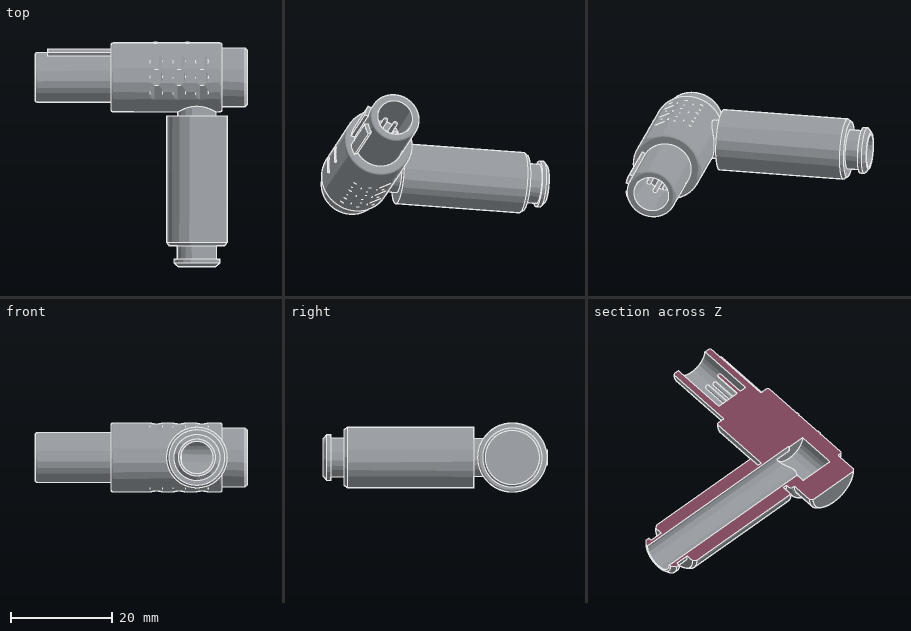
import cadquery as cq
import math


total_length = 42.0
nose_radius = 4.95
nose_length = 15.0
body_radius = 6.85
body_end_x = 37.0
rear_cap_radius = 5.85
edge_rounding = 0.5
rear_chamfer = 0.5
union_overlap = 0.5

socket_radius = 3.5
socket_depth = 12.0
pin_count = 5
pin_radius = 0.42
pin_length = 6.0
pin_tip_flat_radius = 0.02
pin_circle_radius = 1.75

key_radius = 5.7
key_start_x = 2.5
key_inner_angle = 9.6
key_outer_angle = 30.7

outlet_x = 32.0
outlet_neck_radius = 3.8
outlet_radius = 6.0
outlet_start = 7.6
outlet_end = 33.3
outlet_chamfer_length = 0.7
outlet_chamfer_depth = 0.5
groove_radius = 3.9
flange_radius = 4.55
flange_start = 35.9
flange_chamfer_start = 36.7
flange_end = 37.47
flange_tip_radius = 3.65
cable_bore_radius = 3.2

chamber_radius = 3.5
chamber_start_x = 29.0
chamber_end_x = body_end_x

dimple_first_x = 24.0
dimple_pitch_x = 4.5
dimple_columns = 3
dimple_pitch_angle = 27.0
dimple_depth = 0.2
dimple_curve_radius = 4.0
scoop_half_length = body_radius / 2

marker_centers_x = (23.8, 30.1)
marker_width = 0.6
marker_height = 3.0
marker_rise = 0.13


def x_cylinder(radius, start_x, end_x):
    return cq.Workplane("YZ").workplane(offset=start_x).circle(radius).extrude(end_x - start_x)


def make_plug():
    """Nose, main body and rear cap."""
    nose = x_cylinder(nose_radius, 0, nose_length + union_overlap)
    nose = nose.faces("<X").edges().fillet(edge_rounding)
    body = x_cylinder(body_radius, nose_length, body_end_x)
    body = body.faces("<X or >X").edges().fillet(edge_rounding)
    rear_cap = x_cylinder(rear_cap_radius, body_end_x - union_overlap, total_length)
    rear_cap = rear_cap.faces(">X").chamfer(rear_chamfer)
    return nose.union(body).union(rear_cap)


def make_key(side):
    """Key rib on the nose; side is +1 for the upper one and -1 for the lower one."""

    def polar(radius, angle):
        angle_rad = math.radians(angle)
        return (radius * math.cos(angle_rad), side * radius * math.sin(angle_rad))

    root_radius = nose_radius - union_overlap
    middle_angle = (key_inner_angle + key_outer_angle) / 2
    return (
        cq.Workplane("YZ")
        .workplane(offset=key_start_x)
        .moveTo(*polar(root_radius, key_inner_angle))
        .lineTo(*polar(key_radius, key_inner_angle))
        .threePointArc(polar(key_radius, middle_angle), polar(key_radius, key_outer_angle))
        .lineTo(*polar(root_radius, key_outer_angle))
        .close()
        .extrude(nose_length + union_overlap - key_start_x)
    )


def make_outlet():
    """Cable outlet revolved around its own axis, from the plug axis outward."""
    profile = [
        (0, 0),
        (outlet_neck_radius, 0),
        (outlet_neck_radius, -outlet_start),
        (outlet_radius, -outlet_start),
        (outlet_radius, -outlet_end + outlet_chamfer_length),
        (outlet_radius - outlet_chamfer_depth, -outlet_end),
        (groove_radius, -outlet_end),
        (groove_radius, -flange_start),
        (flange_radius, -flange_start),
        (flange_radius, -flange_chamfer_start),
        (flange_tip_radius, -flange_end),
        (0, -flange_end),
    ]
    outlet = cq.Workplane("XY").polyline(profile).close().revolve(360, (0, 0, 0), (0, 1, 0))
    return outlet.translate((outlet_x, 0, 0))


def make_cable_bore():
    return cq.Workplane("XZ").center(outlet_x, 0).circle(cable_bore_radius).extrude(flange_end)


def make_pins():
    """Contact pins with domed tips, standing on the socket floor."""
    pins = (
        cq.Workplane("YZ")
        .workplane(offset=socket_depth - pin_length)
        .polarArray(pin_circle_radius, 0, 360, pin_count)
        .circle(pin_radius)
        .extrude(pin_length + union_overlap)
    )
    tip_rounding = pin_radius - pin_tip_flat_radius
    return pins.faces("<X").edges().fillet(tip_rounding)


def make_dimples():
    """Shallow scoops: cylinders lying crosswise to the plug axis, just biting the body."""
    scoop_center_z = body_radius - dimple_depth + dimple_curve_radius
    dimples = []
    for column in range(dimple_columns):
        scoop = (
            cq.Workplane("XZ", origin=(dimple_first_x + column * dimple_pitch_x, 0, scoop_center_z))
            .circle(dimple_curve_radius)
            .extrude(scoop_half_length, both=True)
        )
        for face_angle in (0, 180):
            for row in (-1, 0, 1):
                angle = face_angle + row * dimple_pitch_angle
                dimples.append(scoop.rotate((0, 0, 0), (1, 0, 0), angle))
    return dimples


def make_marker(center_x):
    height_above_axis = body_radius + marker_rise
    root = body_radius - union_overlap
    bar = cq.Workplane("XY").box(marker_width, height_above_axis - root, marker_height)
    return bar.translate((center_x, (height_above_axis + root) / 2, 0))


result = make_plug()
for dimple in make_dimples():
    result = result.cut(dimple)
result = result.union(make_outlet())
for side in (1, -1):
    result = result.union(make_key(side))
for center_x in marker_centers_x:
    result = result.union(make_marker(center_x))
result = result.cut(x_cylinder(socket_radius, 0, socket_depth))
result = result.cut(x_cylinder(chamber_radius, chamber_start_x, chamber_end_x))
result = result.cut(make_cable_bore())
result = result.union(make_pins())